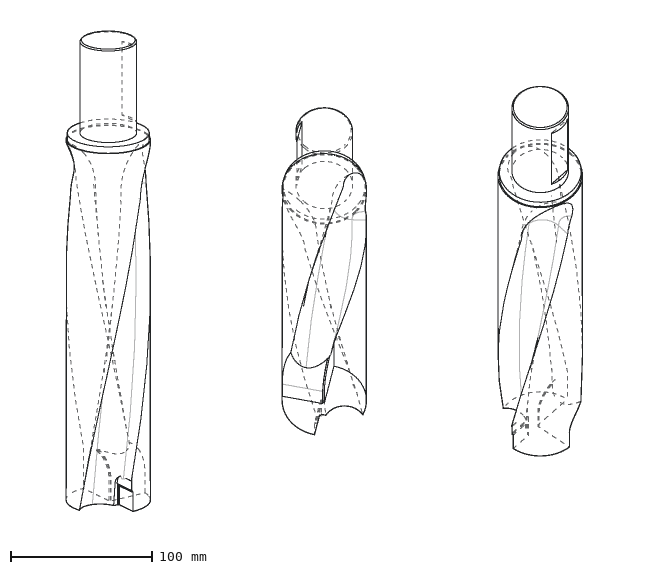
import cadquery as cq
import math

total_length = 346.5
body_radius = 29.97
body_top = 271.5
collar_radius = 29.0
shank_radius = 20.0
shank_length = 70.0
shank_chamfer = 1.0
shank_bottom = total_length - shank_length

flat_bottom = 283.8
flat_top = 339.2
flat_offset = 18.0

flute_count = 2
flute_radius = 15.0
flute_center_offset = 19.8
flute_wall_offset = 0.7
flute_outer_reach = 34.0
flute_crown_angle = 150.0
twist_per_unit = 0.3954
wall_level_height = 32.0

flute_end = 234.2
runout_direction = 282.0
runout_axis_offset = 37.0

floor_offset = 0.52
seat_inset = 1.0

inner_wall_x = 2.8
inner_round_bottom = 15.5
inner_round_radius = 18.7

outer_wall_x = 12.0
outer_height = 16.0
relief_height = 23.2
relief_floor_offset = 0.7
relief_corner_radius = 6.2

clearance = 3.5
cut_reach = body_radius + clearance


def polar(radius, degrees):
    angle = math.radians(degrees)
    return radius * math.cos(angle), radius * math.sin(angle)


def make_blank():
    body = cq.Workplane("XY").circle(body_radius).extrude(body_top)
    collar = cq.Workplane("XY").circle(collar_radius).extrude(shank_bottom)
    shank = cq.Workplane("XY").circle(shank_radius).extrude(total_length)
    shank = shank.faces(">Z").chamfer(shank_chamfer)
    return body.union(collar).union(shank)


def make_shank_flat():
    return (
        cq.Workplane("XY", origin=(0, flat_offset, flat_bottom))
        .box(2 * shank_radius, shank_radius, flat_top - flat_bottom, centered=(True, False, False))
    )


def flute_section(height):
    """Outline of the first flute at a height, turned as the helix turns."""
    turn = twist_per_unit * (height - wall_level_height)
    wall_y = -flute_wall_offset
    wall_end_x = -math.sqrt(flute_outer_reach**2 - wall_y**2)
    center_x = -flute_center_offset
    center_y = wall_y + flute_radius
    diagonal = flute_radius * math.sqrt(0.5)
    return (
        cq.Workplane("XY", origin=(0, 0, height))
        .transformed(rotate=(0, 0, turn))
        .moveTo(wall_end_x, wall_y)
        .lineTo(center_x, wall_y)
        .threePointArc((center_x + diagonal, center_y - diagonal), (center_x + flute_radius, center_y))
        .threePointArc((center_x + diagonal, center_y + diagonal), (center_x, center_y + flute_radius))
        .threePointArc(polar(flute_outer_reach, flute_crown_angle), (wall_end_x, wall_y))
        .close()
    )


def make_flute_channel():
    return flute_section(0).twistExtrude(flute_end, twist_per_unit * flute_end)


def make_flute_runout():
    section = cq.Face.makeFromWires(flute_section(flute_end).ctx.pendingWires[0])
    axis_start = cq.Vector(*polar(runout_axis_offset, runout_direction), flute_end)
    axis_step = cq.Vector(*polar(3.5, runout_direction + 90), 0)
    return cq.Workplane(cq.Solid.revolve(section, 90, axis_start, axis_start + axis_step))


def make_inner_cut(inset, floor_y):
    """Cut with a flat wall that rounds over into its ceiling, on the +Y side of its floor."""
    wall_x = inner_wall_x - inset
    radius = inner_round_radius - inset
    top = inner_round_bottom + radius
    round_center_x = wall_x - radius
    diagonal = radius * math.sqrt(0.5)
    return (
        cq.Workplane("XZ", origin=(0, floor_y, 0))
        .moveTo(-cut_reach, -clearance)
        .lineTo(wall_x, -clearance)
        .lineTo(wall_x, inner_round_bottom)
        .threePointArc((round_center_x + diagonal, inner_round_bottom + diagonal), (round_center_x, top))
        .lineTo(-cut_reach, top)
        .close()
        .extrude(-cut_reach)
    )


def make_outer_cut(inset, height, floor_y):
    """Square cut from the bottom up to a height, on the -Y side of its floor."""
    wall_x = outer_wall_x + inset
    return (
        cq.Workplane("XZ", origin=(wall_x, floor_y, -clearance))
        .rect(cut_reach - wall_x, height - inset + clearance, centered=False)
        .extrude(cut_reach)
    )


def make_chip_relief():
    relief = make_outer_cut(0, relief_height, -relief_floor_offset)
    return relief.edges("<X and >Z").fillet(relief_corner_radius)


result = make_blank().cut(make_shank_flat())

for flute_piece in (make_flute_channel(), make_flute_runout()):
    for index in range(flute_count):
        result = result.cut(flute_piece.rotate((0, 0, 0), (0, 0, 1), index * 360 / flute_count))

result = result.cut(make_inner_cut(0, floor_offset))
result = result.cut(make_inner_cut(seat_inset, -floor_offset))
result = result.cut(make_outer_cut(0, outer_height, -floor_offset))
result = result.cut(make_outer_cut(seat_inset, outer_height, floor_offset))
result = result.cut(make_chip_relief())